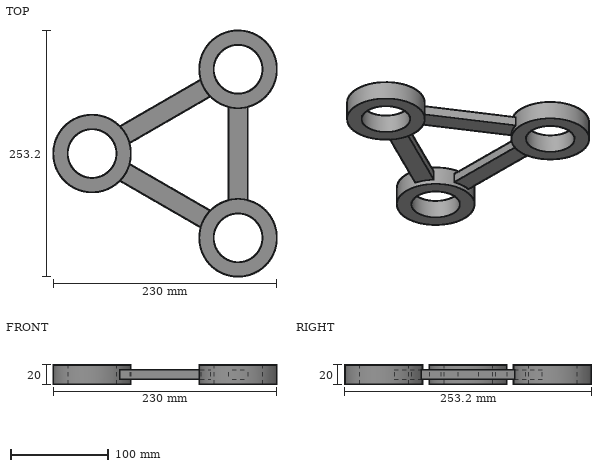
import cadquery as cq
import math

overall_length = 253.2
ring_outer_diameter = 80.0
ring_bore_diameter = 50.0
ring_height = 20.0
link_width = 20.0
link_thickness = ring_height / 2
ring_count = 3

ring_spacing = overall_length - ring_outer_diameter
centre_radius = ring_spacing / math.sqrt(3)
link_offset = centre_radius / 2
turn_angle = 360 / ring_count


def cylinders_at_corners(diameter):
    """Upright cylinders on the triangle corners, one of them on the -X axis."""
    return (
        cq.Workplane("XY", origin=(0, 0, -ring_height / 2))
        .polarArray(centre_radius, 180, 360, ring_count)
        .circle(diameter / 2)
        .extrude(ring_height)
    )


def link(angle):
    """Flat bar between two ring centres, at mid-height of the rings."""
    return (
        cq.Workplane("XY")
        .box(link_width, ring_spacing, link_thickness)
        .translate((link_offset, 0, 0))
        .rotate((0, 0, 0), (0, 0, 1), angle)
    )


frame = cylinders_at_corners(ring_outer_diameter)
for index in range(ring_count):
    frame = frame.union(link(index * turn_angle))

result = frame.cut(cylinders_at_corners(ring_bore_diameter))